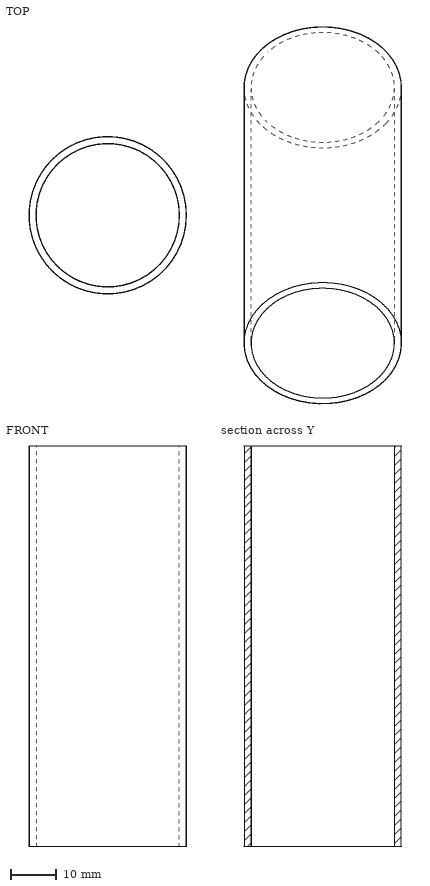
import cadquery as cq

length = 88.9
outer_diameter = 34.9
wall_thickness = 1.6
inner_diameter = outer_diameter - 2 * wall_thickness

result = (
    cq.Workplane("XY")
    .circle(outer_diameter / 2)
    .circle(inner_diameter / 2)
    .extrude(length)
)